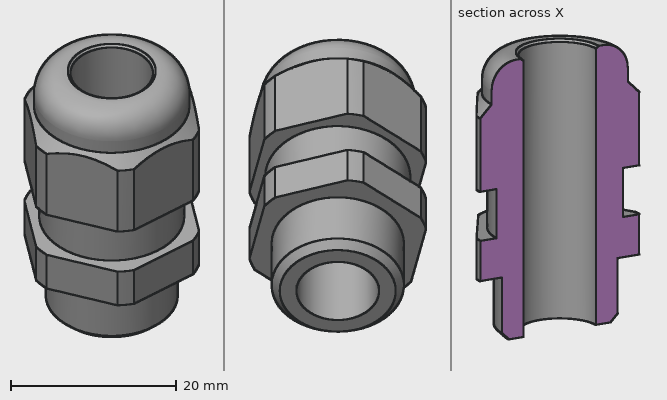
import cadquery as cq

total_height = 35.5
thread_top = 8.02
hex_collar_top = 13.2
nut_bottom = 19.4
nut_top = 30.3

across_flats = 20.0
corner_radius = 11.0
thread_radius = 8.02
body_radius = 8.8
dome_radius = 9.45
bore_radius = 5.0

thread_chamfer = 1.0
dome_fillet = 3.45
bore_chamfer = 0.32


def cylinder(radius, bottom, top):
    return cq.Workplane("XY").workplane(offset=bottom).circle(radius).extrude(top - bottom)


def rounded_hexagon(bottom, top):
    """Hexagon with flats on +X and -X and its corners turned to a cylinder."""
    hexagon = (
        cq.Workplane("XY")
        .workplane(offset=bottom)
        .polygon(6, across_flats, circumscribed=True)
        .extrude(top - bottom)
    )
    return hexagon.intersect(cylinder(corner_radius, bottom, top))


def clamping_nut():
    """Hexagon whose top corners are turned to a 45 degree cone meeting the dome."""
    cone_width = corner_radius - dome_radius
    envelope = cylinder(corner_radius, nut_bottom, nut_top).faces(">Z").chamfer(cone_width)
    return rounded_hexagon(nut_bottom, nut_top).intersect(envelope)


thread = (
    cylinder(thread_radius, 0, thread_top)
    .faces("<Z")
    .chamfer(thread_chamfer)
)
hex_collar = rounded_hexagon(thread_top, hex_collar_top)
body = cylinder(body_radius, hex_collar_top, nut_bottom)
dome = cylinder(dome_radius, nut_top, total_height).faces(">Z").edges().fillet(dome_fillet)

solid_gland = thread.union(hex_collar).union(body).union(clamping_nut()).union(dome)

bored_gland = solid_gland.cut(cylinder(bore_radius, 0, total_height))
entry_edge = cq.selectors.RadiusNthSelector(0)
result = bored_gland.faces(">Z").edges(entry_edge).chamfer(bore_chamfer)